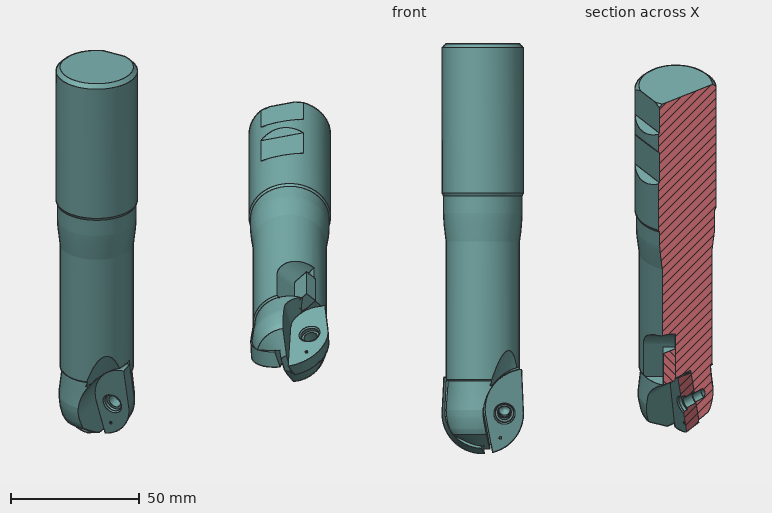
import cadquery as cq
import math

length = 159.5
shank_diameter = 31.7
shank_radius = shank_diameter / 2
collar_radius = 15.3
neck_diameter = 28.5
neck_radius = neck_diameter / 2
top_chamfer = 1.6
shank_bottom = 101.5
collar_top = 100.3
collar_bottom = 93.5
neck_top = 82.5
taper_mid_radius = 15.0
neck_bottom = 28.9
head_top = 28.2
head_top_radius = 13.5
head_radius = 14.7
head_widest_height = 16.9
nose_top_radius = 13.7
nose_top_height = 9.7
nose_arc_point = (13.4, 8.8)
head_arc_point = (14.5, 13.7)
cone_top_radius = 12.8
cone_top_height = 7.5
tip_flat_height = 1.8
tip_flat_radius = 3.8

flat_distance = 13.4
upper_flat_bottom = 146.6
lower_flat_top = 137.3
lower_flat_bottom = 123.5

ball_diameter = shank_diameter
ball_radius = ball_diameter / 2
rake_tilt = 9.0
insert_thickness = 6.2
relief_angle = 10.0
insert_top_x = 15.2
edge_mid_angle = 40.0

outer_tip_x = 3.8
outer_wall_bend = (1.5, 13.5)
outer_wall_mid = (4.1, 27.1)
outer_wall_top = (13.7, 33.2)

centre_tip_x = -0.6
centre_wall_bend = (1.3, 22.8)
centre_wall_mid = (4.3, 27.5)
centre_wall_top = (12.1, 30.1)

wall_gap = 0.8

screw_x = 8.5
screw_height = 15.8
countersink_diameter = 8.3
counterbore_diameter = 7.2
counterbore_depth = 1.9
clearance_diameter = 5.3
thread_diameter = 4.5
thread_depth = 4.0
drill_point_angle = 118.0
dot_diameter = 1.0
dot_depth = 0.3
dot_x = 6.9
dot_height = 6.2

side_angle = 34.0
side_outer = 15.2
side_inner = 8.3
side_seat = 0.5
side_thickness = 4.8
side_bottom = 28.0
side_top = 43.0
side_flute_wall = 6.4
side_flute_radius = 8.5

flute_radius = 16.0
flute_start_depth = 9.7
flute_start_height = 27.1
flute_slope = 0.35

dimple_diameter = 1.5
dimple_depth = 0.8
dimple_height = 32.9

reach = 2 * shank_radius


def turned_holder():
    profile = (
        cq.Workplane("XZ")
        .moveTo(0, tip_flat_height)
        .lineTo(tip_flat_radius, tip_flat_height)
        .lineTo(cone_top_radius, cone_top_height)
        .threePointArc(nose_arc_point, (nose_top_radius, nose_top_height))
        .threePointArc(head_arc_point, (head_radius, head_widest_height))
        .lineTo(head_top_radius, head_top)
        .lineTo(neck_radius, neck_bottom)
        .lineTo(neck_radius, neck_top)
        .threePointArc((taper_mid_radius, (neck_top + collar_bottom) / 2), (collar_radius, collar_bottom))
        .lineTo(collar_radius, collar_top)
        .lineTo(shank_radius, shank_bottom)
        .lineTo(shank_radius, length - top_chamfer)
        .lineTo(shank_radius - top_chamfer, length)
        .lineTo(0, length)
        .close()
    )
    return profile.revolve(360, (0, 0, 0), (0, 1, 0))


def flat_cutter(bottom, top):
    """Cutter for a flat from bottom to top, opening outwards at 45 degrees."""
    rise = shank_radius
    points = [
        (flat_distance, bottom),
        (flat_distance + rise, bottom - rise),
        (flat_distance + rise, top + rise),
        (flat_distance, top),
    ]
    return cq.Workplane("YZ").polyline(points).close().extrude(reach, both=True)


def rake_plane(lift=0.0):
    """Sketch plane on the rake face on the -Y side, moved along its normal by lift."""
    tilt = math.radians(rake_tilt)
    normal = (0, -math.cos(tilt), -math.sin(tilt))
    origin = (0, lift * normal[1], lift * normal[2])
    return cq.Workplane(cq.Plane(origin=origin, xDir=(1, 0, 0), normal=normal))


def turned_half_round(body):
    """The same body on the opposite side of the tool axis."""
    return body.rotate((0, 0, 0), (0, 0, 1), 180)


def insert_outline(plane, tip_x, wall_bend, wall_mid, wall_top):
    """Lens outline: ball cutting edge outside, wall with a line and an arc inside."""
    tip_height = ball_radius - math.sqrt(ball_radius**2 - tip_x**2)
    mid_angle = math.radians(edge_mid_angle)
    edge_mid = (ball_radius * math.cos(mid_angle), ball_radius * (1 - math.sin(mid_angle)))
    return (
        plane.moveTo(insert_top_x, wall_top[1])
        .lineTo(ball_radius, ball_radius)
        .threePointArc(edge_mid, (tip_x, tip_height))
        .lineTo(*wall_bend)
        .threePointArc(wall_mid, wall_top)
        .close()
    )


def outer_outline(plane):
    """Insert that stops short of the tool axis."""
    return insert_outline(plane, outer_tip_x, outer_wall_bend, outer_wall_mid, outer_wall_top)


def centre_outline(plane):
    """Insert that cuts past the tool axis."""
    return insert_outline(plane, centre_tip_x, centre_wall_bend, centre_wall_mid, centre_wall_top)


def screw_hole():
    """Countersunk and counterbored hole through a ball insert."""
    countersink_depth = (countersink_diameter - counterbore_diameter) / 2
    place = rake_plane().center(screw_x, screw_height)
    hole = place.circle(clearance_diameter / 2).extrude(-insert_thickness)
    bore = place.circle(counterbore_diameter / 2).extrude(-counterbore_depth)
    sink = place.circle(countersink_diameter / 2).extrude(-countersink_depth, taper=45)
    return hole.union(bore).union(sink)


def make_ball_insert(outline):
    insert = outline(rake_plane()).extrude(-insert_thickness, taper=relief_angle)
    dot = rake_plane().center(dot_x, dot_height).circle(dot_diameter / 2).extrude(-dot_depth)
    return insert.cut(screw_hole()).cut(dot)


def ball_pocket(outline, gap):
    """Seat behind the insert and the open chip space in front of it."""
    sketch = outline(rake_plane(-insert_thickness))
    if gap > 0:
        sketch = sketch.offset2D(gap)
    return sketch.extrude(reach)


def drilled_hole(start, direction, diameter, depth):
    """Blind hole with a drill point; depth is that of the full diameter."""
    radius = diameter / 2
    point_length = radius / math.tan(math.radians(drill_point_angle / 2))
    barrel = cq.Solid.makeCylinder(radius, depth, start, direction)
    point = cq.Solid.makeCone(radius, 0, point_length, start + direction * depth, direction)
    return cq.Workplane(barrel).union(cq.Workplane(point))


def thread_hole():
    seat = rake_plane(-insert_thickness).center(screw_x, screw_height).plane
    return drilled_hole(seat.origin, -seat.zDir, thread_diameter, thread_depth)


def sloping_flute():
    """Round trough on the +X, -Y side, whose bottom runs out of the neck as it climbs."""
    tilt = math.atan(flute_slope)
    sideways = cq.Vector(1, -1, 0).normalized()
    upwards = cq.Vector(0, 0, 1)
    axis = sideways * math.sin(tilt) + upwards * math.cos(tilt)
    away = sideways * math.cos(tilt) - upwards * math.sin(tilt)
    trough_start = sideways * flute_start_depth + upwards * flute_start_height
    return cq.Workplane(cq.Solid.makeCylinder(flute_radius, reach, trough_start + away * flute_radius, axis))


def side_plane():
    """Sketch plane on the side insert's seat: local X points outwards, local Y along +Z."""
    angle = math.radians(side_angle)
    outwards = cq.Vector(-math.cos(angle), math.sin(angle), 0)
    normal = cq.Vector(math.sin(angle), math.cos(angle), 0)
    return cq.Workplane(cq.Plane(origin=normal * side_seat, xDir=outwards, normal=normal))


def make_side_insert():
    width = side_outer - side_inner
    height = side_top - side_bottom
    center = (side_inner + width / 2, side_bottom + height / 2)
    return side_plane().center(*center).rect(width, height).extrude(side_thickness)


def side_pocket():
    """Pocket for the side insert, with a flute that runs out in an arc above it."""
    arc_center_x = side_flute_wall + side_flute_radius
    arc_reach = side_flute_radius * math.sin(math.radians(45))
    profile = (
        side_plane()
        .moveTo(side_flute_wall, side_bottom)
        .lineTo(side_flute_wall, side_top)
        .threePointArc(
            (arc_center_x - arc_reach, side_top + arc_reach),
            (arc_center_x, side_top + side_flute_radius),
        )
        .lineTo(reach, side_top + side_flute_radius)
        .lineTo(reach, side_bottom)
        .close()
    )
    return profile.extrude(reach)


def make_holder():
    holder = turned_holder()
    holder = holder.cut(flat_cutter(upper_flat_bottom, length))
    holder = holder.cut(flat_cutter(lower_flat_bottom, lower_flat_top))
    holder = holder.cut(sloping_flute())
    holder = holder.cut(ball_pocket(outer_outline, wall_gap))
    holder = holder.cut(turned_half_round(ball_pocket(centre_outline, 0)))
    holder = holder.cut(thread_hole()).cut(turned_half_round(thread_hole()))
    holder = holder.cut(side_pocket())
    dimple_start = cq.Vector(-neck_radius, 0, dimple_height)
    return holder.cut(drilled_hole(dimple_start, cq.Vector(1, 0, 0), dimple_diameter, dimple_depth))


holder = make_holder()
outer_insert = make_ball_insert(outer_outline)
centre_insert = turned_half_round(make_ball_insert(centre_outline))
side_insert = make_side_insert()

result = cq.Compound.makeCompound(
    [
        holder.solids().val(),
        outer_insert.solids().val(),
        centre_insert.solids().val(),
        side_insert.solids().val(),
    ]
)